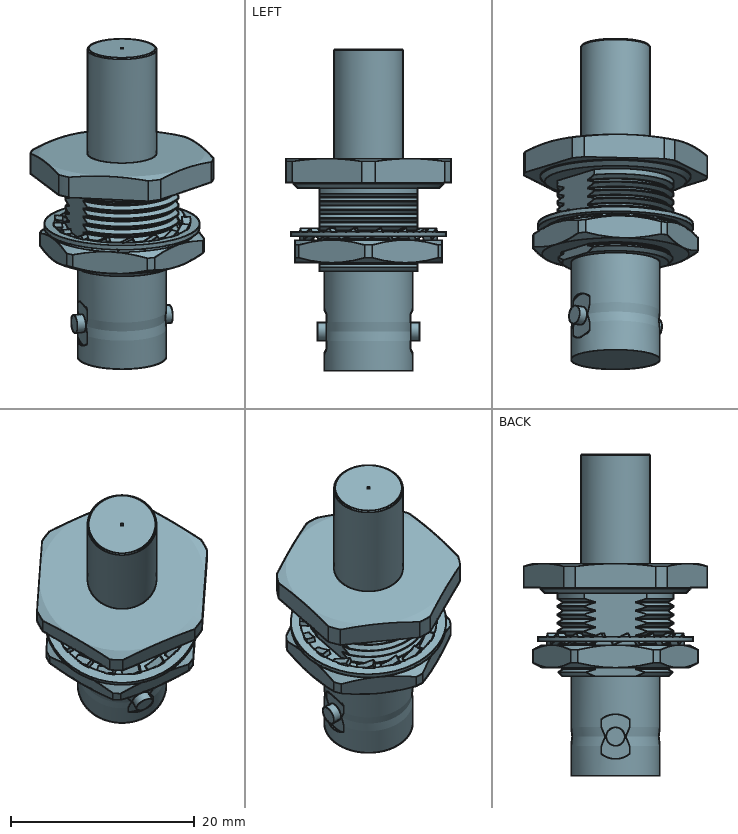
import cadquery as cq
import math

BARREL_RADIUS = 4.84
PIN_RADIUS = 1.0
PIN_SPAN = 11.1
PIN_HEIGHT = 4.27
GROOVE_DEPTH = 0.12
GROOVE_HALF_WIDTH = 1.03
PIN_SEAT_RADIUS = 2.43
PIN_SEAT_FLAT = 4.59

THREAD_RADIUS = 6.33
THREAD_PITCH = 25.4 / 28
THREAD_DEPTH = 0.55
THREAD_CREST_WIDTH = 0.1
THREAD_ROOT_WIDTH = 0.08
THREAD_GROOVES = 9
NECK_BOTTOM = 10.82
NECK_CHAMFER = 0.54
NECK_FLAT = 5.35
TOP_GROOVE_HEIGHT = 18.88

NUT_FLATS = 16.0
NUT_CORNERS = 18.0
NUT_BOTTOM = 11.77
NUT_TOP = 14.23
NUT_CHAMFER = 0.53

SHOULDER_BOTTOM = 19.87
SHOULDER_RADIUS = 8.2
SHOULDER_CHAMFER = 0.5
FLANGE_BOTTOM = 20.48
FLANGE_TOP = 23.08
FLANGE_FLATS = 18.0
FLANGE_CORNERS = 20.0
FLANGE_CHAMFER = 0.3

TAIL_RADIUS = 3.77
TAIL_CHAMFER = 0.15
TAIL_TOP = 35.0
TAIL_HOLE_RADIUS = 0.15
TAIL_HOLE_DEPTH = 1.0

WASHER_RADIUS = 8.45
WASHER_THICKNESS = 0.5
WASHER_RING_INNER_RADIUS = 7.4
TOOTH_COUNT = 16
TOOTH_TIP_RADIUS = 6.6
TOOTH_WIDTH = 2.0
TOOTH_TWIST = 25.0
TOOTH_PHASE = 4.5
TOOTH_ROOT_OVERLAP = 0.1


TWIST_ANGLE = math.radians(TOOTH_TWIST)
TOOTH_REACH = (TOOTH_WIDTH * math.sin(TWIST_ANGLE) + WASHER_THICKNESS * math.cos(TWIST_ANGLE)) / 2
WASHER_MIDDLE = NUT_TOP + TOOTH_REACH


def disc(radius, bottom, top):
    """Cylinder on the Z axis between two heights."""
    return cq.Workplane("XY").workplane(offset=bottom).circle(radius).extrude(top - bottom)


def hexagon(across_flats, across_corners, bottom, top, top_chamfer, bottom_chamfer=0.0):
    """Hexagon with turned corners, two of them on the X axis, and conical end chamfers."""
    sharp_corners = across_flats / math.cos(math.pi / 6)
    prism = cq.Workplane("XY").workplane(offset=bottom).polygon(6, sharp_corners).extrude(top - bottom)
    face_radius = across_flats / 2
    corner_radius = across_corners / 2
    bottom_radius = face_radius if bottom_chamfer else corner_radius
    profile = cq.Workplane("XZ").moveTo(0, bottom).lineTo(bottom_radius, bottom)
    if bottom_chamfer:
        profile = profile.lineTo(corner_radius, bottom + bottom_chamfer)
    profile = profile.lineTo(corner_radius, top - top_chamfer).lineTo(face_radius, top).lineTo(0, top)
    return prism.intersect(profile.close().revolve(360, (0, 0, 0), (0, 1, 0)))


def make_barrel():
    """Plain barrel with a shallow V groove, and a bayonet pin on a flat seat at each side."""
    barrel = (
        cq.Workplane("XZ")
        .lineTo(BARREL_RADIUS, 0)
        .lineTo(BARREL_RADIUS, PIN_HEIGHT - GROOVE_HALF_WIDTH)
        .lineTo(BARREL_RADIUS - GROOVE_DEPTH, PIN_HEIGHT)
        .lineTo(BARREL_RADIUS, PIN_HEIGHT + GROOVE_HALF_WIDTH)
        .lineTo(BARREL_RADIUS, NECK_BOTTOM)
        .lineTo(0, NECK_BOTTOM)
        .close()
        .revolve(360, (0, 0, 0), (0, 1, 0))
    )
    seat_cutter = (
        cq.Workplane("XZ")
        .center(0, PIN_HEIGHT)
        .circle(PIN_SEAT_RADIUS)
        .extrude(BARREL_RADIUS)
        .translate((0, -PIN_SEAT_FLAT, 0))
    )
    barrel = barrel.cut(seat_cutter).cut(seat_cutter.mirror("XZ"))
    pins = cq.Workplane("XZ").center(0, PIN_HEIGHT).circle(PIN_RADIUS).extrude(PIN_SPAN / 2, both=True)
    return barrel.union(pins)


def make_threaded_neck():
    """Threaded neck, flattened at front and back, with a chamfered lower end."""
    neck = disc(THREAD_RADIUS, NECK_BOTTOM, SHOULDER_BOTTOM).faces("<Z").chamfer(NECK_CHAMFER)
    root_radius = THREAD_RADIUS - THREAD_DEPTH
    mouth = (THREAD_PITCH - THREAD_CREST_WIDTH) / 2
    root = THREAD_ROOT_WIDTH / 2
    for index in range(THREAD_GROOVES):
        height = TOP_GROOVE_HEIGHT - index * THREAD_PITCH
        groove = (
            cq.Workplane("XZ")
            .moveTo(THREAD_RADIUS, height - mouth)
            .lineTo(root_radius, height - root)
            .lineTo(root_radius, height + root)
            .lineTo(THREAD_RADIUS, height + mouth)
            .close()
            .revolve(360, (0, 0, 0), (0, 1, 0))
        )
        neck = neck.cut(groove)
    flats = cq.Workplane("XY").box(2 * THREAD_RADIUS, 2 * NECK_FLAT, TAIL_TOP, centered=(True, True, False))
    return neck.intersect(flats)


def make_housing():
    """Barrel, threaded neck with its nut, shoulder, fixed hexagonal flange and tail in one piece."""
    nut = hexagon(NUT_FLATS, NUT_CORNERS, NUT_BOTTOM, NUT_TOP, NUT_CHAMFER, NUT_CHAMFER)
    shoulder = disc(SHOULDER_RADIUS, SHOULDER_BOTTOM, FLANGE_BOTTOM).faces("<Z").chamfer(SHOULDER_CHAMFER)
    flange = hexagon(FLANGE_FLATS, FLANGE_CORNERS, FLANGE_BOTTOM, FLANGE_TOP, FLANGE_CHAMFER)
    tail = disc(TAIL_RADIUS, FLANGE_TOP, TAIL_TOP).faces(">Z").chamfer(TAIL_CHAMFER)
    tail_hole = disc(TAIL_HOLE_RADIUS, TAIL_TOP - TAIL_HOLE_DEPTH, TAIL_TOP)
    housing = make_barrel()
    for section in (make_threaded_neck(), nut, shoulder, flange, tail):
        housing = housing.union(section)
    return housing.cut(tail_hole)


def make_lock_washer():
    """Flat ring with inward teeth, each twisted about its own radial axis."""
    half_thickness = WASHER_THICKNESS / 2
    washer = disc(WASHER_RADIUS, -half_thickness, half_thickness)
    washer = washer.cut(disc(WASHER_RING_INNER_RADIUS, -half_thickness, half_thickness))
    tooth_outer_radius = WASHER_RING_INNER_RADIUS + TOOTH_ROOT_OVERLAP
    tooth = (
        cq.Workplane("XY")
        .box(tooth_outer_radius, TOOTH_WIDTH, WASHER_THICKNESS, centered=(False, True, True))
        .rotate((0, 0, 0), (1, 0, 0), TOOTH_TWIST)
        .intersect(disc(tooth_outer_radius, -TOOTH_WIDTH, TOOTH_WIDTH))
        .cut(disc(TOOTH_TIP_RADIUS, -TOOTH_WIDTH, TOOTH_WIDTH))
    )
    for index in range(TOOTH_COUNT):
        angle = TOOTH_PHASE + index * 360 / TOOTH_COUNT
        washer = washer.union(tooth.rotate((0, 0, 0), (0, 0, 1), angle))
    return washer.translate((0, 0, WASHER_MIDDLE))


housing = make_housing()
lock_washer = make_lock_washer()
result = cq.Compound.makeCompound([housing.val(), lock_washer.val()])